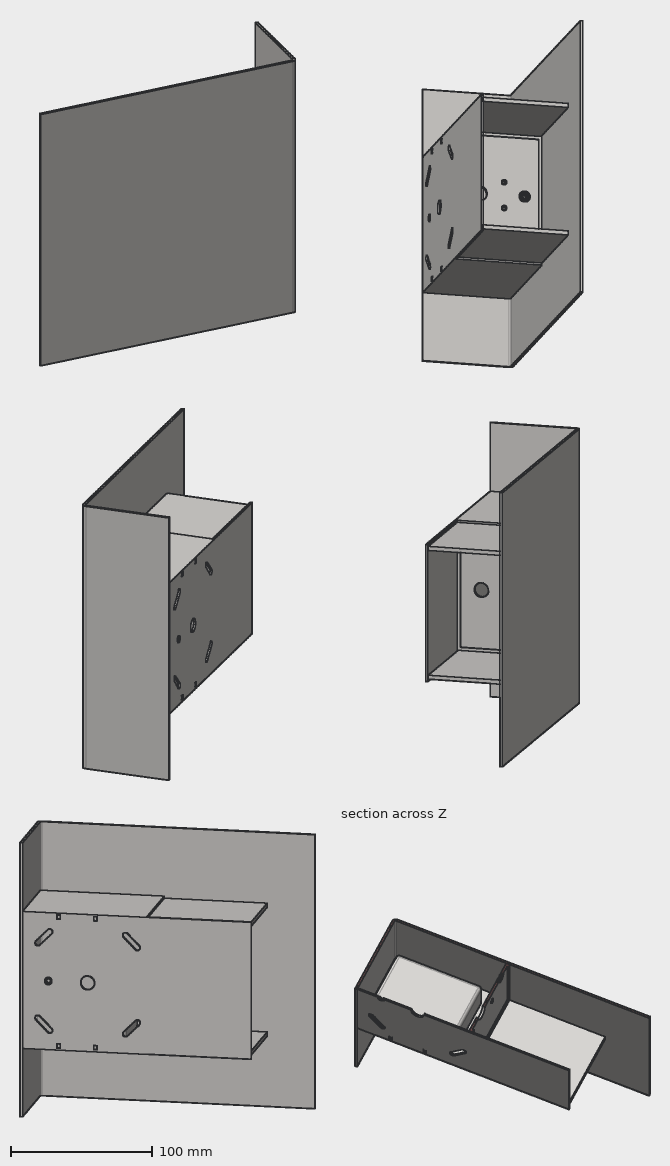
import cadquery as cq
import math

DEPTH = 66.0
WIDTH = 200.0
HEIGHT = 200.0
SHEET = 1.5

SHADE_SHEET = 1.9
BEND_INNER_RADIUS = 1.1
BEND_OUTER_RADIUS = BEND_INNER_RADIUS + SHADE_SHEET
INNER_X = DEPTH - SHADE_SHEET
INNER_Y = WIDTH - SHADE_SHEET

BRACKET_HEIGHT = 100.0
PLATE_START_Y = 33.0
FLANGE_START_Y = 108.5
MOUNT_Y = 151.2
CABLE_HOLE_DIAMETER = 10.0
SLOT_WIDTH = 4.0
SLOT_LENGTH = 16.2
SLOT_RADIUS = 44.8
SLOT_START_ANGLE = 45
TAB_SLOT_WIDTH = 2.5
TAB_SLOT_YS = (145.5, 172.2)
EARTH_Y = 179.5
EARTH_RECESS_DIAMETER = 5.2
EARTH_RECESS_DEPTH = 0.8
EARTH_HOLE_DIAMETER = 3.0

PANEL_THICKNESS = 3.0
PANEL_START_Y = 34.2
PANEL_END_Y = WIDTH - BEND_OUTER_RADIUS
PANEL_OUTER_Z = BRACKET_HEIGHT / 2 - SHEET
PANEL_INNER_Z = PANEL_OUTER_Z - PANEL_THICKNESS

COVER_GAP = 0.7
COVER_WIDTH = INNER_X - SHEET
COVER_HEIGHT = 2 * (PANEL_INNER_Z - COVER_GAP)
COVER_THICKNESS = 3.0
COVER_CENTRE_X = (SHEET + INNER_X) / 2
RIM = 2.2
POCKET_DEPTH = 1.0
POCKET_CORNER_RADIUS = 1.0
OUTLET_X = 19.0
OUTLET_DIAMETER = 10.5
SCREW_HOLE_X = 36.8
SCREW_HOLE_SPACING = 19.0
SCREW_HOLE_DIAMETER = 2.5
SCREW_RECESS_DIAMETER = 3.5
SCREW_RECESS_DEPTH = 0.8
BUSHING_X = 51.8
BUSHING_STEPS = ((7.8, 0.5), (5.5, 0.8), (3.5, 1.2))
BUSHING_HOLE_DIAMETER = 2.5

DRIVER_START_X = 11.2
DRIVER_END_X = DEPTH - DRIVER_START_X
DRIVER_LENGTH = 66.0
DRIVER_CENTRE_Y = sum(TAB_SLOT_YS) / len(TAB_SLOT_YS)
DRIVER_TOP_Z = -25.5
DRIVER_EDGE_RADIUS = 2.2


def block(x_range, y_range, z_range):
    """Box between the given limits along X, Y and Z."""
    lengths = [end - start for start, end in (x_range, y_range, z_range)]
    corner = (x_range[0], y_range[0], z_range[0])
    return cq.Workplane("XY").box(*lengths, centered=False).translate(corner)


def bore_x(diameter, y, depth):
    """Cylinder along +X from the outer face of the wall plate."""
    return cq.Workplane("YZ").center(y, 0).circle(diameter / 2).extrude(depth)


def bore_y(diameter, x, z, start_y, depth):
    """Cylinder along +Y starting at start_y."""
    plane = cq.Workplane("XZ", origin=(0, start_y, 0))
    return plane.center(x, z).circle(diameter / 2).extrude(-depth)


def make_shade():
    half = HEIGHT / 2
    outer = block((0, DEPTH), (0, WIDTH), (-half, half))
    outer = outer.edges("|Z and >X and >Y").fillet(BEND_OUTER_RADIUS)
    inner = block((-SHADE_SHEET, INNER_X), (-SHADE_SHEET, INNER_Y), (-half, half))
    inner = inner.edges("|Z and >X and >Y").fillet(BEND_INNER_RADIUS)
    return outer.cut(inner)


def cut_mounting_slots(bracket):
    """Four slots at 45 degrees, tangential to a circle round the cable hole."""
    for quadrant in range(4):
        angle = SLOT_START_ANGLE + 90 * quadrant
        y = MOUNT_Y + SLOT_RADIUS * math.cos(math.radians(angle))
        z = SLOT_RADIUS * math.sin(math.radians(angle))
        slot = cq.Workplane("YZ").center(y, z).slot2D(SLOT_LENGTH, SLOT_WIDTH, angle + 90)
        bracket = bracket.cut(slot.extrude(SHEET))
    return bracket


def cut_tab_slots(bracket):
    """Rectangular slots level with the two panels."""
    level = (PANEL_OUTER_Z + PANEL_INNER_Z) / 2
    for y in TAB_SLOT_YS:
        for z in (-level, level):
            slot = cq.Workplane("YZ").center(y, z).rect(TAB_SLOT_WIDTH, PANEL_THICKNESS)
            bracket = bracket.cut(slot.extrude(SHEET))
    return bracket


def make_bracket():
    half = BRACKET_HEIGHT / 2
    bracket = block((0, SHEET), (PLATE_START_Y, INNER_Y), (-half, half))
    for base_z in (-half, half - SHEET):
        flange = block((0, INNER_X), (FLANGE_START_Y, INNER_Y), (base_z, base_z + SHEET))
        flange = flange.edges("|Z and >X and >Y").fillet(BEND_INNER_RADIUS)
        bracket = bracket.union(flange)
    bracket = bracket.cut(bore_x(CABLE_HOLE_DIAMETER, MOUNT_Y, SHEET))
    bracket = bracket.cut(bore_x(EARTH_RECESS_DIAMETER, EARTH_Y, EARTH_RECESS_DEPTH))
    bracket = bracket.cut(bore_x(EARTH_HOLE_DIAMETER, EARTH_Y, SHEET))
    return cut_tab_slots(cut_mounting_slots(bracket))


def make_panel(base_z):
    return block((SHEET, INNER_X), (PANEL_START_Y, PANEL_END_Y), (base_z, base_z + PANEL_THICKNESS))


def make_cover():
    half = COVER_HEIGHT / 2
    end_y = FLANGE_START_Y + COVER_THICKNESS
    cover = block((SHEET, INNER_X), (FLANGE_START_Y, end_y), (-half, half))
    pocket = (
        cq.Workplane("XZ", origin=(COVER_CENTRE_X, FLANGE_START_Y, 0))
        .rect(COVER_WIDTH - 2 * RIM, COVER_HEIGHT - 2 * RIM)
        .extrude(-POCKET_DEPTH)
        .edges("|Y")
        .fillet(POCKET_CORNER_RADIUS)
    )
    cover = cover.cut(pocket)

    floor_y = FLANGE_START_Y + POCKET_DEPTH
    floor = COVER_THICKNESS - POCKET_DEPTH
    cover = cover.cut(bore_y(OUTLET_DIAMETER, OUTLET_X, 0, floor_y, floor))
    for z in (-SCREW_HOLE_SPACING / 2, SCREW_HOLE_SPACING / 2):
        cover = cover.cut(bore_y(SCREW_RECESS_DIAMETER, SCREW_HOLE_X, z, floor_y, SCREW_RECESS_DEPTH))
        cover = cover.cut(bore_y(SCREW_HOLE_DIAMETER, SCREW_HOLE_X, z, floor_y, floor))
    for diameter, depth in BUSHING_STEPS:
        cover = cover.cut(bore_y(diameter, BUSHING_X, 0, floor_y, depth))
    return cover.cut(bore_y(BUSHING_HOLE_DIAMETER, BUSHING_X, 0, floor_y, floor))


def make_driver():
    driver = block(
        (DRIVER_START_X, DRIVER_END_X),
        (DRIVER_CENTRE_Y - DRIVER_LENGTH / 2, DRIVER_CENTRE_Y + DRIVER_LENGTH / 2),
        (-PANEL_INNER_Z, DRIVER_TOP_Z),
    )
    return driver.edges("|Z or >Z").fillet(DRIVER_EDGE_RADIUS)


shade = make_shade()
bracket = make_bracket()
panels = [make_panel(base_z) for base_z in (-PANEL_OUTER_Z, PANEL_INNER_Z)]
cover = make_cover()
driver = make_driver()

result = cq.Compound.makeCompound(
    [shade.val(), bracket.val(), *[panel.val() for panel in panels], cover.val(), driver.val()]
)